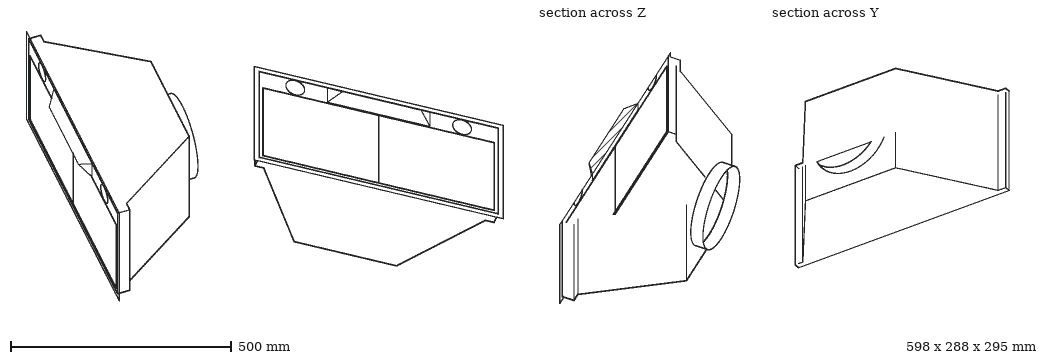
import cadquery as cq


SHEET = 1.0

FLANGE_WIDTH = 598.0
FLANGE_HEIGHT = 295.0
FLANGE_THICKNESS = 0.2

CASING_WIDTH = 574.0
CASING_HEIGHT = 272.0
CASING_DEPTH = 236.0
STEP_DEPTH = 30.5
TAPER_FRONT_WIDTH = 532.0
TAPER_REAR_WIDTH = 246.0

DUCT_DIAMETER = 200.0
DUCT_LENGTH = 30.0

PANEL_SETBACK = FLANGE_THICKNESS
PANEL_BACK = PANEL_SETBACK + SHEET

GAP = 1.0
FILTER_OPENING_WIDTH = 556.0
FILTER_OPENING_BOTTOM = -127.5
FILTER_OPENING_TOP = 87.0
FILTER_OPENING_HEIGHT = FILTER_OPENING_TOP - FILTER_OPENING_BOTTOM
FILTER_OPENING_CENTRE_Z = (FILTER_OPENING_TOP + FILTER_OPENING_BOTTOM) / 2
FILTER_WIDTH = (FILTER_OPENING_WIDTH - 3 * GAP) / 2
FILTER_HEIGHT = FILTER_OPENING_HEIGHT - 2 * GAP

STRIP_CENTRE_Z = 111.5
LAMP_DIAMETER = 45.0
LAMP_SPACING = 400.0
HANDLE_LENGTH = 246.0
HANDLE_RIDGE_LENGTH = 188.0
HANDLE_REACH = 22.0
HANDLE_HEIGHT = 2 * (HANDLE_REACH + PANEL_SETBACK)


def block(width, height, front, back, centre_x=0.0, centre_z=0.0):
    """Upright rectangular block between two Y positions."""
    middle = (centre_x, (front + back) / 2, centre_z)
    return cq.Workplane("XY").box(width, back - front, height).translate(middle)


def disc(diameter, front, back, centre_x=0.0, centre_z=0.0):
    """Cylinder along Y between two Y positions, its seam on the -X side."""
    plane = cq.Plane(origin=(centre_x, front, centre_z), xDir=(-1, 0, 0), normal=(0, 1, 0))
    return cq.Workplane(plane).circle(diameter / 2).extrude(back - front)


def casing_shell():
    """Stepped and tapered casing of sheet metal, open at the front."""
    half_width = CASING_WIDTH / 2
    half_taper_front = TAPER_FRONT_WIDTH / 2
    half_taper_rear = TAPER_REAR_WIDTH / 2
    outline = [
        (-half_width, 0),
        (-half_width, STEP_DEPTH),
        (-half_taper_front, STEP_DEPTH),
        (-half_taper_rear, CASING_DEPTH),
        (half_taper_rear, CASING_DEPTH),
        (half_taper_front, STEP_DEPTH),
        (half_width, STEP_DEPTH),
        (half_width, 0),
    ]
    casing = cq.Workplane("XY").polyline(outline).close().extrude(CASING_HEIGHT / 2, both=True)
    return casing.faces("<Y").shell(-SHEET)


def flange():
    """Flat frame around the opening, its inner edge flush with the casing walls."""
    opening_width = CASING_WIDTH - 2 * SHEET
    opening_height = CASING_HEIGHT - 2 * SHEET
    plate = block(FLANGE_WIDTH, FLANGE_HEIGHT, 0, FLANGE_THICKNESS)
    return plate.cut(block(opening_width, opening_height, 0, FLANGE_THICKNESS))


def front_panel():
    """Panel closing the opening, with cut-outs for the filters and the lamps."""
    panel = block(CASING_WIDTH - SHEET, CASING_HEIGHT - SHEET, PANEL_SETBACK, PANEL_BACK)
    filter_opening = block(
        FILTER_OPENING_WIDTH,
        FILTER_OPENING_HEIGHT,
        PANEL_SETBACK,
        PANEL_BACK,
        centre_z=FILTER_OPENING_CENTRE_Z,
    )
    panel = panel.cut(filter_opening)
    for side in (-1, 1):
        lamp_x = side * LAMP_SPACING / 2
        panel = panel.cut(disc(LAMP_DIAMETER, PANEL_SETBACK, PANEL_BACK, lamp_x, STRIP_CENTRE_Z))
    return panel


def handle():
    """Hipped ridge on the strip, sloping on all four sides."""
    prism = (
        cq.Workplane("YZ")
        .polyline([
            (PANEL_SETBACK, STRIP_CENTRE_Z - HANDLE_HEIGHT / 2),
            (-HANDLE_REACH, STRIP_CENTRE_Z),
            (PANEL_SETBACK, STRIP_CENTRE_Z + HANDLE_HEIGHT / 2),
        ])
        .close()
        .extrude(HANDLE_LENGTH / 2, both=True)
    )
    plan = (
        cq.Workplane("XY")
        .polyline([
            (-HANDLE_LENGTH / 2, PANEL_SETBACK),
            (-HANDLE_RIDGE_LENGTH / 2, -HANDLE_REACH),
            (HANDLE_RIDGE_LENGTH / 2, -HANDLE_REACH),
            (HANDLE_LENGTH / 2, PANEL_SETBACK),
        ])
        .close()
        .extrude(CASING_HEIGHT / 2)
    )
    return prism.intersect(plan)


def make_housing():
    """Casing, flange, duct collar, front panel and handle as one solid."""
    casing = casing_shell()
    collar_end = CASING_DEPTH + DUCT_LENGTH
    bore_start = CASING_DEPTH - SHEET
    casing = casing.union(flange())
    casing = casing.union(disc(DUCT_DIAMETER, CASING_DEPTH, collar_end))
    casing = casing.cut(disc(DUCT_DIAMETER - 2 * SHEET, bore_start, collar_end))
    return casing.union(front_panel()).union(handle())


def make_filter(side):
    """Flat filter on one side of the middle gap."""
    centre_x = side * (FILTER_WIDTH + GAP) / 2
    return block(
        FILTER_WIDTH, FILTER_HEIGHT, PANEL_SETBACK, PANEL_BACK, centre_x, FILTER_OPENING_CENTRE_Z
    )


def make_lamp(side):
    """Round lamp filling its hole in the front panel."""
    return disc(LAMP_DIAMETER, PANEL_SETBACK, PANEL_BACK, side * LAMP_SPACING / 2, STRIP_CENTRE_Z)


housing = make_housing()
filters = [make_filter(side) for side in (-1, 1)]
lamps = [make_lamp(side) for side in (-1, 1)]

result = cq.Compound.makeCompound([
    housing.val(),
    *[panel.val() for panel in filters],
    *[lamp.val() for lamp in lamps],
])